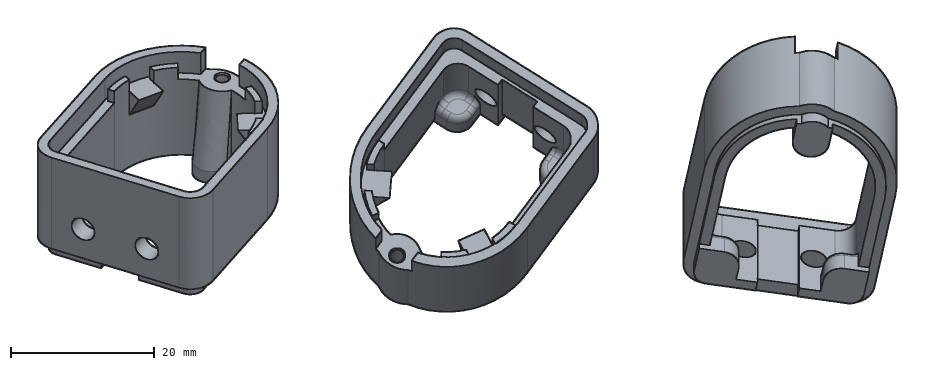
import cadquery as cq
import math


width = 27.0
half_width = width / 2
front_y = -20.0
corner_radius = 3.5
wall = 3.0
rim_wall = wall / 2
shell_height = 15.65
ledge_z = 12.0
cavity_corner_radius = 2.5

lip_drop = 1.0
peg_drop = 2.0
front_gap_width = 5.9
front_notch_depth = 1.0

pad_size = 4.52
pad_corner_radius = 2.5
pad_fillet = 1.0
pad_top_z = 2.0

back_y = 14.0
bulge_radius = 4.5
boss_width = 5.1
screw_y = 12.3
boss_top_radius = 3.3
boss_foot_y = 6.22
screw_hole_diameter = 1.87
screw_hole_depth = 6.0
screw_chamfer = 0.2
rim_slot_width = 6.05

tab_height = 2.0
tab_rim_gap = 0.48
tab_sweep = 60
catch_angle = 30
catch_width = 4.0
catch_inner_radius = 7.82
catch_height = 4.0

cable_hole_diameter = 3.6
cable_hole_spacing = 10.0
cable_hole_z = 5.0

cavity_half_width = half_width - wall
rim_half_width = half_width - rim_wall
cavity_front_y = front_y + wall


def slab(profile, bottom, top):
    """Extrude a closed sketch made on the XY plane between two heights."""
    return profile.extrude(top - bottom).translate((0, 0, bottom))


def box(x_min, x_max, y_min, y_max, z_min, z_max):
    """Block between the given limits."""
    block = cq.Workplane("XY").box(x_max - x_min, y_max - y_min, z_max - z_min, centered=False)
    return block.translate((x_min, y_min, z_min))


def arch(inset, radius, bottom, top):
    """Arch-shaped prism, set in from the outer outline, with rounded front corners."""
    half = half_width - inset
    front = front_y + inset
    outline = (
        cq.Workplane("XY")
        .moveTo(half, 0)
        .threePointArc((0, half), (-half, 0))
        .lineTo(-half, front)
        .lineTo(half, front)
        .close()
    )
    return slab(outline, bottom, top).edges("|Z and <Y").fillet(radius)


def bulge(inset, bottom, top):
    """Round swelling of the outline around the screw."""
    circle = cq.Workplane("XY").center(0, back_y - bulge_radius).circle(bulge_radius - inset)
    return slab(circle, bottom, top)


def lip_body(bottom):
    """Solid set in from the shell outline, from the given height up to the shell."""
    lip = arch(rim_wall, corner_radius - rim_wall, bottom, 0)
    return lip.union(bulge(rim_wall, bottom, 0))


def both_sides(solid):
    """Add the mirror image on the other side of the YZ plane."""
    return solid.union(solid.mirror("YZ"))


def boss_profile(plane, start_y, side_y, tip_y):
    """Straight-sided profile with a round end towards the cavity."""
    half = boss_width / 2
    return (
        plane.moveTo(-half, start_y)
        .lineTo(-half, side_y)
        .threePointArc((0, tip_y), (half, side_y))
        .lineTo(half, start_y)
        .close()
    )


def boss():
    """Boss whose inner face leans from the wall at the top into the cavity at the bottom."""
    half = boss_width / 2
    start_y = math.sqrt(rim_half_width**2 - half**2)
    foot_side_y = boss_foot_y + half
    top_side_y = screw_y - math.sqrt(boss_top_radius**2 - half**2)
    foot = boss_profile(cq.Workplane("XY"), start_y, foot_side_y, boss_foot_y)
    top_plane = foot.workplane(offset=ledge_z)
    foot_and_top = boss_profile(top_plane, start_y, top_side_y, screw_y - boss_top_radius)
    return foot_and_top.loft(ruled=True)


def boss_peg():
    """Peg below the boss, following the lip outline at the back."""
    half = boss_width / 2
    profile = boss_profile(cq.Workplane("XY"), back_y, boss_foot_y + half, boss_foot_y)
    return slab(profile, -peg_drop, 0).intersect(lip_body(-peg_drop))


def corner_pads():
    """Pads in the front corners, with a cove up the walls and a rounded free edge."""
    pad_x = pad_size - cavity_half_width
    pad_y = pad_size + cavity_front_y
    pad = box(
        -cavity_half_width, pad_x, cavity_front_y, pad_y, -peg_drop, pad_top_z + pad_fillet
    )
    pad = pad.edges("|Z and >X and >Y").fillet(pad_corner_radius)

    space = arch(wall, cavity_corner_radius, pad_top_z, shell_height)
    pad = pad.cut(space.faces("<Z").edges().fillet(pad_fillet))

    corner_setback = pad_corner_radius * (1 - math.sqrt(0.5))
    corner_top = (pad_x - corner_setback, pad_y - corner_setback, pad_top_z)
    return both_sides(pad.edges(cq.NearestToPointSelector(corner_top)).fillet(pad_fillet))


def wall_tabs():
    """Upright tabs on the ledge, interrupted where the catches sit.

    They reach in to the centre and are trimmed when the main opening is cut.
    """
    outer = rim_half_width - tab_rim_gap
    sweep = math.radians(tab_sweep)
    sector = (
        cq.Workplane("XY")
        .lineTo(outer, 0)
        .threePointArc(
            (outer * math.cos(sweep / 2), outer * math.sin(sweep / 2)),
            (outer * math.cos(sweep), outer * math.sin(sweep)),
        )
        .close()
    )
    tab_top = ledge_z + tab_height
    gap = box(0, half_width, -catch_width / 2, catch_width / 2, ledge_z, tab_top)
    gap = gap.rotate((0, 0, 0), (0, 0, 1), catch_angle)
    return both_sides(slab(sector, ledge_z, tab_top).cut(gap))


def catches():
    """Flat-topped wedges that point into the cavity and run out into the wall below."""
    wall_x = math.sqrt(cavity_half_width**2 - (catch_width / 2) ** 2)
    wedge = (
        cq.Workplane("XZ")
        .moveTo(catch_inner_radius, ledge_z)
        .lineTo(wall_x, ledge_z - catch_height)
        .lineTo(rim_half_width - tab_rim_gap, ledge_z - catch_height)
        .lineTo(rim_half_width - tab_rim_gap, ledge_z)
        .close()
        .extrude(catch_width / 2, both=True)
    )
    return both_sides(wedge.rotate((0, 0, 0), (0, 0, 1), catch_angle))


body = arch(0, corner_radius, 0, shell_height).union(bulge(0, 0, ledge_z))
body = body.union(lip_body(-lip_drop))
peg_zone = box(-half_width, half_width, front_y, cavity_front_y + pad_size, -peg_drop, 0)
body = body.union(lip_body(-peg_drop).intersect(peg_zone))

body = body.cut(arch(rim_wall, corner_radius - rim_wall, ledge_z, shell_height))
body = body.union(wall_tabs())
body = body.cut(arch(wall, cavity_corner_radius, -peg_drop, shell_height))
body = body.union(corner_pads())

half_gap = front_gap_width / 2
body = body.cut(box(-half_gap, half_gap, front_y, cavity_front_y, -peg_drop, 0))
body = body.cut(
    box(-half_gap, half_gap, cavity_front_y - front_notch_depth, cavity_front_y, 0, ledge_z)
)
body = body.cut(box(-rim_slot_width / 2, rim_slot_width / 2, 0, back_y, ledge_z, shell_height))

body = body.union(boss()).union(boss_peg()).union(catches())

screw_plane = cq.Workplane("XY", origin=(0, screw_y, ledge_z))
screw_radius = screw_hole_diameter / 2
screw_hole = screw_plane.circle(screw_radius).extrude(-screw_hole_depth)
mouth = screw_plane.circle(screw_radius + screw_chamfer).extrude(-screw_chamfer, taper=45)
body = body.cut(screw_hole).cut(mouth)

for side in (-1, 1):
    hole = (
        cq.Workplane("XZ", origin=(side * cable_hole_spacing / 2, front_y, cable_hole_z))
        .circle(cable_hole_diameter / 2)
        .extrude(-wall)
    )
    body = body.cut(hole)

result = body